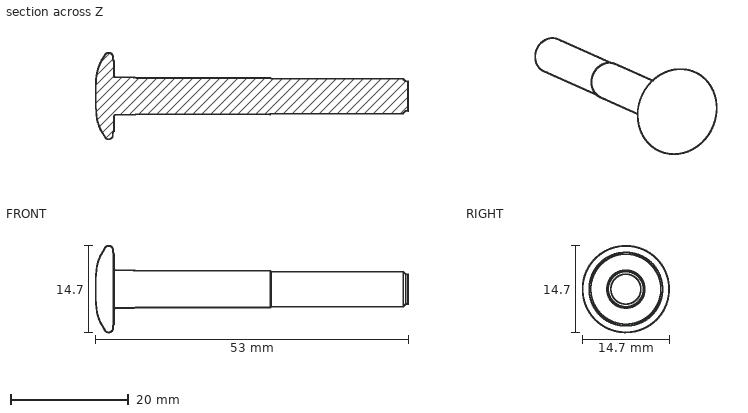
import cadquery as cq
import math

length = 52.98
head_diameter = 14.73

crown_flat_diameter = 4.4
rim_position = 2.2
rim_radius = 0.75
bearing_base_diameter = 12.5
bearing_face_diameter = 11.9
bearing_height = 0.15

neck_fillet = 0.27
collar_diameter = 6.45
collar_end = 6.3
collar_taper_end = 6.93

shank_diameter = 6.25
shank_end = 29.75
end_diameter = 5.98
tip_diameter = 5.09
tip_length = 0.4

crown_flat_radius = crown_flat_diameter / 2
head_radius = head_diameter / 2
rim_center_radius = head_radius - rim_radius
rim_back = rim_position + rim_radius
bearing_base_radius = bearing_base_diameter / 2
bearing_face_radius = bearing_face_diameter / 2
head_thickness = rim_back + bearing_height
collar_radius = collar_diameter / 2
shank_radius = shank_diameter / 2
end_radius = end_diameter / 2
tip_radius = tip_diameter / 2
shank_chamfer = shank_radius - end_radius
end_chamfer = end_radius - tip_radius
tip_start = length - tip_length

rim_offset = rim_center_radius - crown_flat_radius
dome_radius = (rim_offset**2 + rim_position**2 - rim_radius**2) / (2 * (rim_position - rim_radius))
dome_angle = math.atan2(rim_offset, dome_radius - rim_position)


def dome_point(angle):
    """Point on the dome arc, with the angle counted from the crown flat."""
    return (
        dome_radius * (1 - math.cos(angle)),
        crown_flat_radius + dome_radius * math.sin(angle),
    )


def neck_fillet_midpoint():
    """Point halfway along the concave quarter arc between head and collar."""
    inset = neck_fillet * (1 - math.sqrt(0.5))
    return (head_thickness + inset, collar_radius + inset)


def bolt_profile():
    """Closed half section of the bolt; X is axial and Y is radial."""
    head = (
        cq.Workplane("XY")
        .lineTo(0, crown_flat_radius)
        .threePointArc(dome_point(dome_angle / 2), dome_point(dome_angle))
        .threePointArc((rim_position, head_radius), (rim_back, rim_center_radius))
        .lineTo(rim_back, bearing_base_radius)
        .lineTo(head_thickness, bearing_face_radius)
        .lineTo(head_thickness, collar_radius + neck_fillet)
        .threePointArc(neck_fillet_midpoint(), (head_thickness + neck_fillet, collar_radius))
    )
    return (
        head.lineTo(collar_end, collar_radius)
        .lineTo(collar_taper_end, shank_radius)
        .lineTo(shank_end - shank_chamfer, shank_radius)
        .lineTo(shank_end, end_radius)
        .lineTo(tip_start - end_chamfer, end_radius)
        .lineTo(tip_start, tip_radius)
        .lineTo(length, tip_radius)
        .lineTo(length, 0)
        .close()
    )


result = bolt_profile().revolve(360, (0, 0, 0), (1, 0, 0))